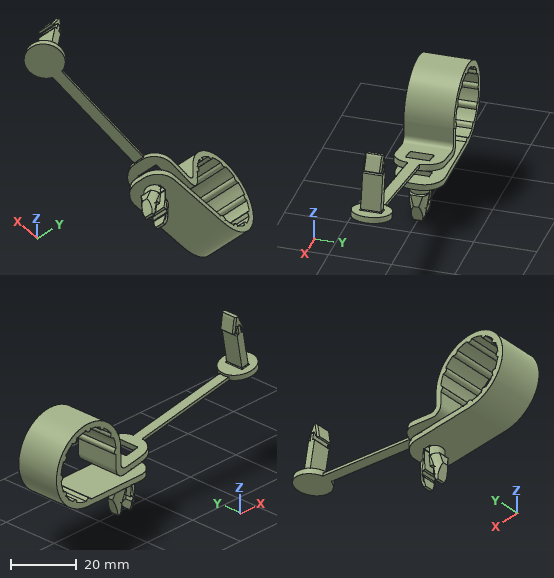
import cadquery as cq
import math

WIDTH = 15.9
RING_RADIUS = 14.2
WALL = 2.1
INNER_RADIUS = RING_RADIUS - WALL
TIP_ROUND = 6.6

PLATE_END = 29.4
TILT = 10.0
ARM_END = 28.7
ARM_TOP = -9.7
INNER_BEND_RADIUS = 2.0
OUTER_BEND_RADIUS = 3.0

RIB_COUNT = 10
RIB_PITCH = 30.0
RIB_BASE = 2.4
RIB_CREST = 1.1
RIB_HEIGHT = 0.8

SLOT_CENTRE = 22.1
SLOT_LENGTH = 5.2
SLOT_WIDTH = 7.6
SLOT_ROUND = 0.5

STRAP_THICKNESS = 1.1
STRAP_WIDTH = 3.8

DISC_DIAMETER = 12.7
DISC_THICKNESS = 2.0
DISC_CENTRE = 73.3

POST_LENGTH = 2.7
POST_WIDTH = 6.4
POST_TOP = 3.6
POST_CHAMFER = 0.4
POST_FOOT = 0.3

NECK_THICKNESS = 1.0
ARROW_WIDTH = 5.95
ARROW_TIP = 9.5
ARROW_EDGE_CHAMFER = 0.6

PIN_CENTRE = 22.7
PIN_DIAMETER = 6.6
PIN_GAP = 2.1
PLATE_SLOT_LENGTH = 2.6
PLATE_SLOT_WIDTH = 6.4

STRAP_BOTTOM = ARM_TOP - STRAP_THICKNESS
DISC_TOP = STRAP_BOTTOM + DISC_THICKNESS
PLATE_BOTTOM = -RING_RADIUS
OVERLAP = 0.5


def prism(outline, width):
    """Extrude an XZ outline symmetrically about the Y = 0 plane."""
    return outline.extrude(width / 2, both=True)


def section():
    return cq.Workplane("XZ")


def tilted(body):
    """Turn a body built level into the direction of the arm."""
    return body.rotate((0, 0, 0), (0, 1, 0), -TILT)


def level_box(x_min, x_max, z_min, z_max, width):
    size = (x_max - x_min, width, z_max - z_min)
    return cq.Workplane("XY").box(*size).translate(((x_min + x_max) / 2, 0, (z_min + z_max) / 2))


def make_ring():
    """Three quarters of a ring, open between the plate and the hanging wall."""
    diagonal = math.sqrt(0.5)
    outline = (
        section()
        .moveTo(0, -RING_RADIUS)
        .threePointArc((-RING_RADIUS * diagonal, RING_RADIUS * diagonal), (RING_RADIUS, 0))
        .lineTo(INNER_RADIUS, 0)
        .threePointArc((-INNER_RADIUS * diagonal, INNER_RADIUS * diagonal), (0, -INNER_RADIUS))
        .close()
    )
    return prism(outline, WIDTH)


def make_rib(angle):
    root = INNER_RADIUS + OVERLAP
    crest = INNER_RADIUS - RIB_HEIGHT
    crest_edge = crest + RIB_HEIGHT / 4
    outline = (
        section()
        .moveTo(root, -RIB_BASE / 2)
        .lineTo(INNER_RADIUS, -RIB_BASE / 2)
        .lineTo(crest_edge, -RIB_CREST / 2)
        .threePointArc((crest, 0), (crest_edge, RIB_CREST / 2))
        .lineTo(INNER_RADIUS, RIB_BASE / 2)
        .lineTo(root, RIB_BASE / 2)
        .close()
    )
    return prism(outline, WIDTH).rotate((0, 0, 0), (0, 1, 0), -angle)


def make_plate():
    plate = level_box(0, PLATE_END, PLATE_BOTTOM, PLATE_BOTTOM + WALL, WIDTH)
    return plate.edges("|Z and >X").fillet(TIP_ROUND)


def make_arm():
    """Hanging wall, bend and arm in one strip, with the slot for the arrow head."""
    tilt = math.radians(TILT)
    half_turn = math.radians((90 + TILT) / 2)

    def arm_z(x, height):
        return (height + x * math.sin(tilt)) / math.cos(tilt)

    def bend(x, height, radius):
        """Start, middle and end of the arc joining the line at x to the arm face at height."""
        setback = radius * math.tan(half_turn)
        start = (x, arm_z(x, height) + setback)
        centre = (x + radius, start[1])
        middle = (centre[0] - radius * math.cos(half_turn), centre[1] - radius * math.sin(half_turn))
        end = (centre[0] + radius * math.sin(tilt), centre[1] - radius * math.cos(tilt))
        return start, middle, end

    def along_arm(u, v):
        return (u * math.cos(tilt) - v * math.sin(tilt), u * math.sin(tilt) + v * math.cos(tilt))

    upper_start, upper_middle, upper_end = bend(RING_RADIUS, ARM_TOP, INNER_BEND_RADIUS)
    lower_start, lower_middle, lower_end = bend(INNER_RADIUS, ARM_TOP - WALL, OUTER_BEND_RADIUS)
    outline = (
        section()
        .moveTo(RING_RADIUS, 0)
        .lineTo(*upper_start)
        .threePointArc(upper_middle, upper_end)
        .lineTo(*along_arm(ARM_END, ARM_TOP))
        .lineTo(*along_arm(ARM_END, ARM_TOP - WALL))
        .lineTo(*lower_end)
        .threePointArc(lower_middle, lower_start)
        .lineTo(INNER_RADIUS, 0)
        .close()
    )
    level_strip = prism(outline, WIDTH).rotate((0, 0, 0), (0, 1, 0), TILT)
    arm = tilted(level_strip.edges(">X and |Z").fillet(TIP_ROUND))
    slot = (
        level_box(SLOT_CENTRE - SLOT_LENGTH / 2, SLOT_CENTRE + SLOT_LENGTH / 2,
                  ARM_TOP - WALL - OVERLAP, ARM_TOP + OVERLAP, SLOT_WIDTH)
        .edges("|Z").fillet(SLOT_ROUND)
    )
    return arm.cut(tilted(slot))


def make_strap_and_disc():
    strap = level_box(ARM_END - OVERLAP, DISC_CENTRE, STRAP_BOTTOM, ARM_TOP, STRAP_WIDTH)
    disc = (
        cq.Workplane("XY", origin=(DISC_CENTRE, 0, STRAP_BOTTOM))
        .circle(DISC_DIAMETER / 2).extrude(DISC_THICKNESS)
    )
    return tilted(strap.union(disc))


def make_post():
    half = POST_LENGTH / 2
    post = (
        level_box(DISC_CENTRE - half, DISC_CENTRE + half, DISC_TOP - OVERLAP, POST_TOP, POST_WIDTH)
        .faces(">Z").edges("|Y").chamfer(POST_CHAMFER)
    )
    foot = (
        cq.Workplane("XY", origin=(DISC_CENTRE, 0, DISC_TOP))
        .rect(POST_LENGTH + 2 * POST_FOOT, POST_WIDTH + 2 * POST_FOOT)
        .workplane(offset=POST_FOOT).rect(POST_LENGTH, POST_WIDTH).loft()
    )
    return tilted(post.union(foot))


def make_arrow():
    """Arrow head: a neck that carries a blunt tip with a flexible barb on each side."""
    shoulder, shoulder_half = 8.9, 1.0
    crown_half = 0.7
    barb_end, barb_half = 4.3, 2.55
    barb_foot = 0.85
    crotch = 6.2
    neck_half = NECK_THICKNESS / 2

    neck = level_box(-neck_half, neck_half, POST_TOP - OVERLAP, crotch, POST_WIDTH)
    outline = (
        section()
        .moveTo(neck_half, crotch)
        .lineTo(barb_half - barb_foot, barb_end)
        .lineTo(barb_half, barb_end)
        .lineTo(shoulder_half, shoulder)
        .lineTo(crown_half, ARROW_TIP)
        .lineTo(-crown_half, ARROW_TIP)
        .lineTo(-shoulder_half, shoulder)
        .lineTo(-barb_half, barb_end)
        .lineTo(-barb_half + barb_foot, barb_end)
        .lineTo(-neck_half, crotch)
        .close()
    )
    head = prism(outline, ARROW_WIDTH)
    for side in (-1, 1):
        flank_centre_x = side * (shoulder_half + barb_half) / 2
        flank_centre_z = (barb_end + shoulder) / 2
        for face_y in (-ARROW_WIDTH / 2, ARROW_WIDTH / 2):
            flank_edge = cq.selectors.NearestToPointSelector((flank_centre_x, face_y, flank_centre_z))
            head = head.edges(flank_edge).chamfer(ARROW_EDGE_CHAMFER)
    return tilted(neck.union(head).translate((DISC_CENTRE, 0, 0)))


def make_pin_leg():
    """One half of the split pin on its +X side, built about X = 0."""
    gap_half = PIN_GAP / 2
    shank_end = -17.85
    widest, widest_reach = -21.4, 4.7
    tip, tip_reach = -27.1, 3.0
    bulge = 0.6
    head_sections = [
        (shank_end, 4.2, 1.9, 1.3, 3.2),
        (widest, widest_reach, 0.85, 2.4, 2.8),
        (-25.5, 5.2, 0.5, 2.5, 2.2),
        (tip, 5.3, 0.4, 2.5, 1.5),
    ]
    clear_x = 6.6
    clear_z = tip - OVERLAP

    def head_wire(z, reach, flat, side, half_width):
        mid_x = side + bulge * (reach - side)
        mid_y = flat + bulge * (half_width - flat)
        return (
            cq.Workplane("XY", origin=(0, 0, z))
            .moveTo(gap_half, -half_width)
            .lineTo(side, -half_width)
            .threePointArc((mid_x, -mid_y), (reach, -flat))
            .lineTo(reach, flat)
            .threePointArc((mid_x, mid_y), (side, half_width))
            .lineTo(gap_half, half_width)
            .close().val()
        )

    head = cq.Workplane(cq.Solid.makeLoft([head_wire(*s) for s in head_sections], True))
    relief_top, relief_bottom_x = -21.8, 2.1
    relief = prism(
        section().polyline([
            (0, relief_top), (1.9, relief_top), (2.6, -22.6),
            (relief_bottom_x, -23.9), (relief_bottom_x, clear_z), (0, clear_z),
        ]).close(),
        WIDTH,
    )
    lead_in = prism(
        section().polyline([
            (widest_reach, widest), (tip_reach, tip), (tip_reach, clear_z),
            (clear_x, clear_z), (clear_x, widest),
        ]).close(),
        WIDTH,
    )
    shank = (
        cq.Workplane("XY", origin=(0, 0, shank_end))
        .circle(PIN_DIAMETER / 2).extrude(PLATE_BOTTOM + OVERLAP - shank_end)
        .intersect(level_box(gap_half, PIN_DIAMETER, shank_end, PLATE_BOTTOM + OVERLAP, WIDTH))
    )
    return shank.union(head.cut(relief).cut(lead_in))


result = make_ring().union(make_plate()).union(make_arm())
for index in range(RIB_COUNT):
    result = result.union(make_rib(index * RIB_PITCH))
result = result.union(make_strap_and_disc()).union(make_post()).union(make_arrow())

leg = make_pin_leg()
for half_pin in (leg, leg.mirror("YZ")):
    result = result.union(half_pin.translate((PIN_CENTRE, 0, 0)))

half_slot = PLATE_SLOT_LENGTH / 2
plate_slot = level_box(PIN_CENTRE - half_slot, PIN_CENTRE + half_slot,
                       PLATE_BOTTOM, PLATE_BOTTOM + WALL + OVERLAP, PLATE_SLOT_WIDTH)
result = result.cut(plate_slot)